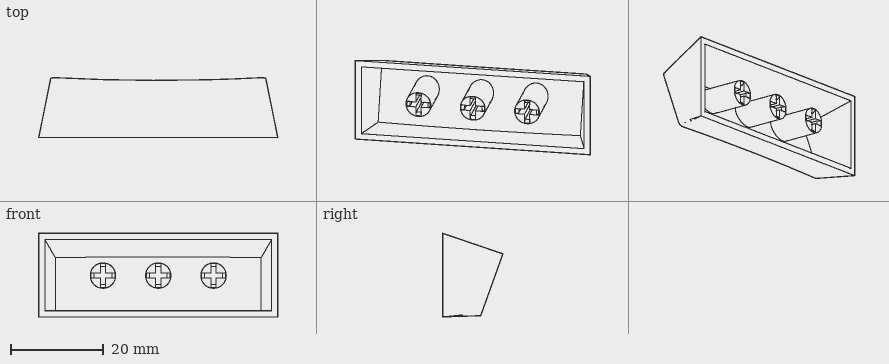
import cadquery as cq
import math

LENGTH = 51.5
HEIGHT = 18.0
RIM = 1.35

TOP_LENGTH = 46.35
TOP_LOW_Y = 8.2
TOP_LOW_Z = 0.25
TOP_HIGH_Y = 13.0
TOP_HIGH_Z = 13.6
CORNER_RADIUS = 1.05
TOP_DISH_DEPTH = 0.65

FLOOR_LENGTH = 44.3
FLOOR_LOW_Y = 7.4
FLOOR_LOW_Z = 1.45
FLOOR_HIGH_Y = 11.45
FLOOR_HIGH_Z = 12.75
FLOOR_DISH_DEPTH = 0.55

STEM_COUNT = 3
STEM_PITCH = 11.9
STEM_RADIUS = 2.75
STEM_Z = 8.9
CROSS_HALF_LENGTH = 1.93
CROSS_WIDTH = 1.15
LEAD_IN = 0.6

TINY_RADIUS = 0.005


def tapered_block(mouth_length, mouth_height, end_length, low, high, dish_depth, radius=0):
    """Block running from the upright mouth to a tilted, dished end face."""
    low_y, low_z = low
    high_y, high_z = high
    rise_y = high_y - low_y
    rise_z = high_z - low_z
    end_height = math.hypot(rise_y, rise_z)
    mouth_plane = cq.Plane((0, 0, HEIGHT / 2), (1, 0, 0), (0, -1, 0))
    end_centre = (0, (low_y + high_y) / 2, (low_z + high_z) / 2)
    end_plane = cq.Plane(end_centre, (1, 0, 0), (0, -rise_z, rise_y))

    mouth = cq.Sketch().rect(mouth_length, mouth_height)
    end = cq.Sketch().rect(end_length, end_height)
    if radius:
        mouth = mouth.vertices().fillet(TINY_RADIUS)
        end = end.vertices().fillet(radius)
    block = (
        cq.Workplane(mouth_plane)
        .placeSketch(mouth, end.moved(mouth_plane.location.inverse * end_plane.location))
        .loft()
    )

    dish_radius = ((end_length / 2) ** 2 + dish_depth**2) / (2 * dish_depth)
    axis_plane = cq.Plane(end_centre, (1, 0, 0), (0, rise_y, rise_z))
    dish = (
        cq.Workplane(axis_plane)
        .center(0, dish_radius - dish_depth)
        .circle(dish_radius)
        .extrude(2 * HEIGHT, both=True)
    )
    return block.cut(dish)


def cross_arm():
    """Horizontal slot of the cross, flared at the mouth of the stem."""
    inner = CROSS_HALF_LENGTH
    flared = inner + LEAD_IN
    outline = [
        (-flared, 0),
        (flared, 0),
        (inner, LEAD_IN),
        (inner, TOP_HIGH_Y),
        (-inner, TOP_HIGH_Y),
        (-inner, LEAD_IN),
    ]
    return (
        cq.Workplane("XY", origin=(0, 0, STEM_Z - CROSS_WIDTH / 2))
        .polyline(outline)
        .close()
        .extrude(CROSS_WIDTH)
    )


def stem():
    """Post along Y with a cross-shaped socket through its whole length."""
    post_plane = cq.Plane((0, 0, STEM_Z), (1, 0, 0), (0, 1, 0))
    post = cq.Workplane(post_plane).circle(STEM_RADIUS).extrude(TOP_HIGH_Y)
    arm = cross_arm()
    upright_arm = arm.rotate((0, 0, STEM_Z), (0, 1, STEM_Z), 90)
    return post.cut(arm).cut(upright_arm)


outer = tapered_block(
    LENGTH,
    HEIGHT,
    TOP_LENGTH,
    (TOP_LOW_Y, TOP_LOW_Z),
    (TOP_HIGH_Y, TOP_HIGH_Z),
    TOP_DISH_DEPTH,
    CORNER_RADIUS,
)
cavity = tapered_block(
    LENGTH - 2 * RIM,
    HEIGHT - 2 * RIM,
    FLOOR_LENGTH,
    (FLOOR_LOW_Y, FLOOR_LOW_Z),
    (FLOOR_HIGH_Y, FLOOR_HIGH_Z),
    FLOOR_DISH_DEPTH,
)

for index in range(STEM_COUNT):
    stem_x = (index - (STEM_COUNT - 1) / 2) * STEM_PITCH
    cavity = cavity.cut(stem().translate((stem_x, 0, 0)))

result = outer.cut(cavity)